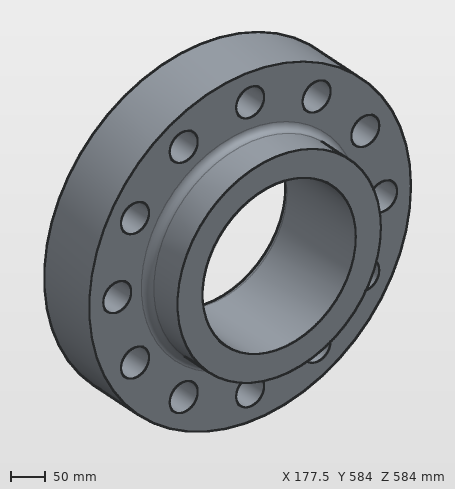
import cadquery as cq

flange_diameter = 584.0
flange_thickness = 108.0
overall_length = 177.5
hub_diameter = 369.0
bore_diameter = 278.0
edge_radius = 13.0
bolt_circle_diameter = 482.5
bolt_hole_diameter = 51.0
bolt_count = 12


def disc(diameter, length):
    """Solid cylinder from the flange face at X = 0 toward +X."""
    return cq.Workplane("YZ").circle(diameter / 2).extrude(length)


def hub_root_fillet():
    """Ring with a concave quarter-round joining the hub to the flange."""
    hub_radius = hub_diameter / 2
    profile = (
        cq.Workplane("XY")
        .moveTo(flange_thickness, bore_diameter / 2)
        .lineTo(flange_thickness, hub_radius + edge_radius)
        .radiusArc((flange_thickness + edge_radius, hub_radius), -edge_radius)
        .lineTo(flange_thickness + edge_radius, bore_diameter / 2)
        .close()
    )
    return profile.revolve(360, (0, 0, 0), (1, 0, 0))


def rounded_bore():
    """Through bore cutter whose mouth rounds outward into the flange face."""
    bore_radius = bore_diameter / 2
    profile = (
        cq.Workplane("XY")
        .lineTo(0, bore_radius + edge_radius)
        .radiusArc((edge_radius, bore_radius), -edge_radius)
        .lineTo(overall_length, bore_radius)
        .lineTo(overall_length, 0)
        .close()
    )
    return profile.revolve(360, (0, 0, 0), (1, 0, 0))


def bolt_holes():
    """Evenly spaced bolt hole cutters, the first one on the Y axis."""
    return (
        cq.Workplane("YZ")
        .polarArray(bolt_circle_diameter / 2, 0, 360, bolt_count)
        .circle(bolt_hole_diameter / 2)
        .extrude(flange_thickness)
    )


flange = disc(flange_diameter, flange_thickness)
hub = disc(hub_diameter, overall_length)
body = flange.union(hub).union(hub_root_fillet())
result = body.cut(rounded_bore()).cut(bolt_holes())